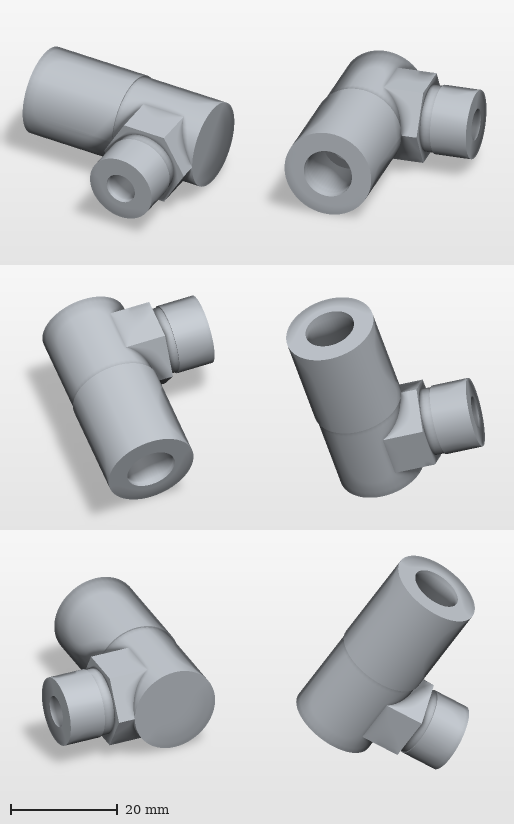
import cadquery as cq

total_length = 36.0
sleeve_diameter = 17.0
body_diameter = 16.5

hex_across_corners = sleeve_diameter
sleeve_length = 19.05
body_length = total_length - sleeve_length
branch_x = total_length - hex_across_corners / 2

hex_reach = 11.5
neck_length = 2.0
spigot_length = 7.02
neck_reach = hex_reach + neck_length
branch_reach = neck_reach + spigot_length

neck_diameter = 12.65
spigot_diameter = 13.15

passage_diameter = 6.0
socket_diameter = 9.45
socket_depth = 12.0


def main_cylinder(start_x, length, diameter):
    """Solid cylinder along the main X axis."""
    return cq.Workplane("YZ", origin=(start_x, 0, 0)).circle(diameter / 2).extrude(length)


def branch_plane(start_reach):
    """Workplane facing -Y, centred on the branch axis."""
    return cq.Workplane("XZ", origin=(branch_x, -start_reach, 0))


def branch_cylinder(start_reach, end_reach, diameter):
    """Solid cylinder along the branch axis."""
    return branch_plane(start_reach).circle(diameter / 2).extrude(end_reach - start_reach)


sleeve = main_cylinder(0, sleeve_length, sleeve_diameter)
body = main_cylinder(sleeve_length, body_length, body_diameter)

hexagon = branch_plane(0).polygon(6, hex_across_corners).extrude(hex_reach)
neck = branch_cylinder(hex_reach, neck_reach, neck_diameter)
spigot = branch_cylinder(neck_reach, branch_reach, spigot_diameter)

socket = main_cylinder(0, socket_depth, socket_diameter)
passage_path = cq.Workplane("XY").polyline([(0, 0), (branch_x, 0), (branch_x, -branch_reach)])
passage = cq.Workplane("YZ").circle(passage_diameter / 2).sweep(passage_path, transition="right")

solid = hexagon.union(body).union(sleeve).union(neck).union(spigot)
result = solid.cut(socket).cut(passage)